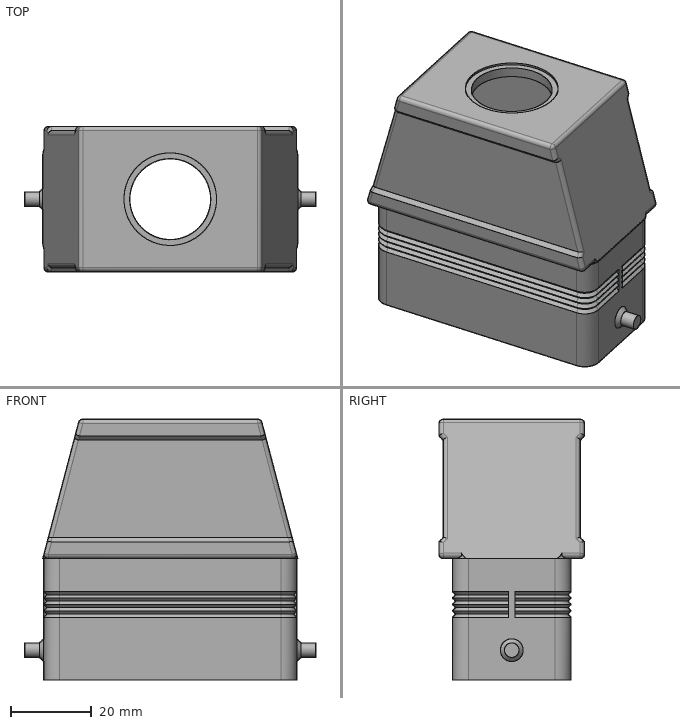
import cadquery as cq

height = 64.5
pin_span = 72.0
hood_depth = 36.0

body_length = 62.6
body_depth = 29.4
body_corner_radius = 3.95

hood_bottom = 30.0
hood_bottom_length = 63.1
hood_top_length = 44.9
lip_height = 4.2
lip_inset = 1.0
edge_radius = 1.1

groove_count = 4
groove_pitch = 1.6
groove_depth = groove_pitch / 2
grooves_bottom = 15.55
groove_gap = 1.6

pin_height = 7.4
pin_diameter = 3.6
collar_diameter = 5.6
collar_length = 1.1
pin_embed = 2.9

entry_diameter = 19.95
recess_diameter = 22.9
recess_depth = 0.5
top_wall = 3.0
side_wall = 2.95
cavity_length = 43.2
cavity_depth = body_depth - 2 * side_wall


def body_block(bottom, top, offset=0.0):
    """Rounded rectangular block with the body outline, grown by offset."""
    return (
        cq.Workplane("XY", origin=(0, 0, bottom))
        .rect(body_length + 2 * offset, body_depth + 2 * offset)
        .extrude(top - bottom)
        .edges("|Z")
        .fillet(body_corner_radius + offset)
    )


def taper_block():
    """Wedge bounding the sloped ends of the hood."""
    low = hood_bottom_length / 2
    high = hood_top_length / 2
    return (
        cq.Workplane("XZ")
        .polyline([(-low, hood_bottom), (low, hood_bottom), (high, height), (-high, height)])
        .close()
        .extrude(hood_depth / 2, both=True)
    )


def hood():
    """Sloped hood: lipped cross-section, tapered ends and rounded outer edges."""
    lip = hood_depth / 2
    waist = lip - lip_inset
    lower_lip = hood_bottom + lip_height
    upper_lip = height - lip_height
    side = [
        (lip, hood_bottom),
        (lip, lower_lip),
        (waist, lower_lip + lip_inset),
        (waist, upper_lip - lip_inset),
        (lip, upper_lip),
        (lip, height),
    ]
    opposite_side = [(-y, z) for y, z in reversed(side)]
    lipped_bar = (
        cq.Workplane("YZ")
        .polyline(side + opposite_side)
        .close()
        .extrude(pin_span / 2, both=True)
    )
    sharp = lipped_bar.intersect(taper_block())
    return sharp.faces("<X or >X or <Z or >Z").edges().fillet(edge_radius)


def pin(side):
    """Locking pin with a conical collar on one end; side is -1 or 1."""
    start = body_length / 2
    root_end = start - pin_embed
    profile = [
        (root_end, 0),
        (root_end, collar_diameter / 2),
        (start, collar_diameter / 2),
        (start + collar_length, pin_diameter / 2),
        (pin_span / 2, pin_diameter / 2),
        (pin_span / 2, 0),
    ]
    return (
        cq.Workplane("XY")
        .polyline([(side * x, r) for x, r in profile])
        .close()
        .revolve(360, (0, 0, 0), (1, 0, 0))
        .translate((0, 0, pin_height))
    )


def groove_ring(bottom):
    """One V-groove: a slice of the body minus two 45-degree tapered blocks meeting in its middle."""
    middle = bottom + groove_depth
    slice_block = body_block(bottom, bottom + groove_pitch)
    lower_core = slice_block.faces("<Z").wires().toPending().extrude(groove_depth, combine=False, taper=45)
    upper_core = lower_core.mirror("XY", (0, 0, middle))
    gap = cq.Workplane("XY", origin=(0, 0, middle)).box(pin_span, groove_gap, groove_pitch)
    return slice_block.cut(lower_core).cut(upper_core).cut(gap)


overhang = (hood_bottom_length - body_length) / 2
root = body_block(hood_bottom, hood_bottom + lip_height, overhang).intersect(taper_block())
result = body_block(0, hood_bottom).union(root).union(hood())

for index in range(groove_count):
    result = result.cut(groove_ring(grooves_bottom + index * groove_pitch))

for side in (-1, 1):
    result = result.union(pin(side))

cavity = cq.Workplane("XY").rect(cavity_length, cavity_depth).extrude(height - top_wall)
entry = cq.Workplane("XY").circle(entry_diameter / 2).extrude(height)
recess = cq.Workplane("XY", origin=(0, 0, height)).circle(recess_diameter / 2).extrude(-recess_depth)
result = result.cut(cavity).cut(entry).cut(recess)